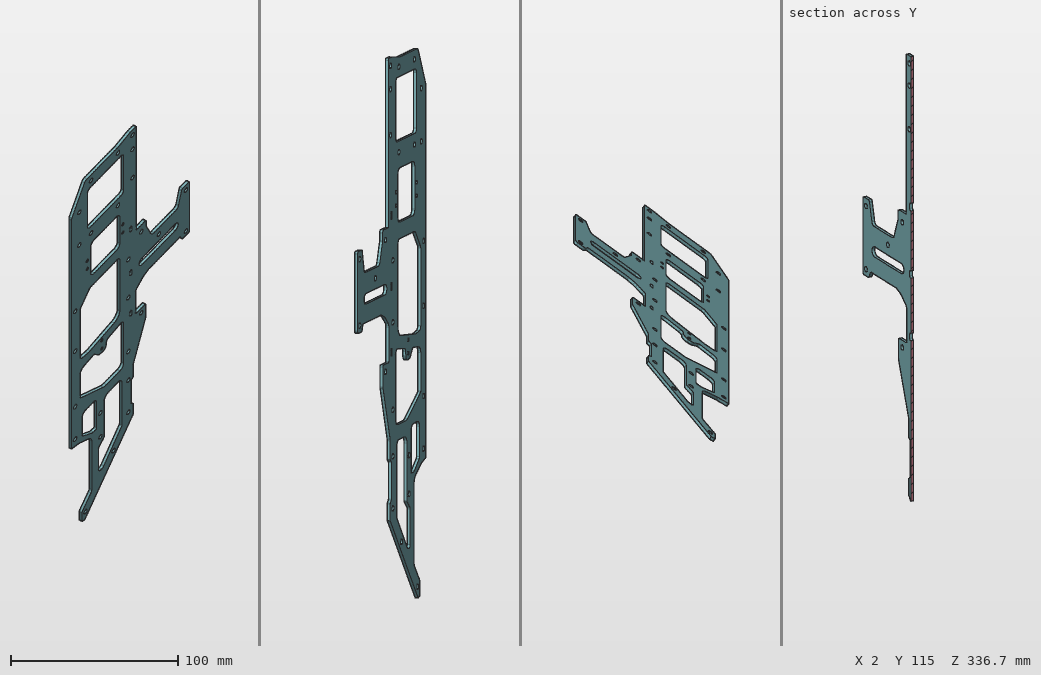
import cadquery as cq
import math

thickness = 2.0
height = 336.7
width = 115.0

body_front = 63.3
body_top = 334.5
body_shoulder = 234.0
waist_front = 62.5
shoulder_front = 73.0
lower_lug_front = 72.5
lower_lug_top = 152.0
rear_edge_bottom = 83.0
leg_front = 60.3
leg_recess = 58.2
leg_rear = 20.0
tail_rear = 10.0
arm_top = 213.5
arm_bottom = 182.8
arm_pad_top = 228.3
arm_pad_bottom = 178.5

window_rear = 8.8
window_front = 47.0
wide_window_front = 51.0
leg_window_bottom = 33.0

screw_diameter = 3.2
pin_diameter = 2.1
pin_pitch = 8.0
tab_slot_length = 4.7
tab_slot_width = 2.0


def fillet_arc(before, corner, after, radius):
    """Return start, middle and end of the arc that rounds one corner."""
    to_before = math.atan2(before[1] - corner[1], before[0] - corner[0])
    to_after = math.atan2(after[1] - corner[1], after[0] - corner[0])
    half_angle = math.acos(math.cos(to_after - to_before)) / 2
    bisector = math.atan2(
        math.sin(to_before) + math.sin(to_after),
        math.cos(to_before) + math.cos(to_after),
    )
    tangent_length = radius / math.tan(half_angle)
    middle_distance = radius / math.sin(half_angle) - radius

    def step(angle, distance):
        return (corner[0] + distance * math.cos(angle), corner[1] + distance * math.sin(angle))

    return step(to_before, tangent_length), step(bisector, middle_distance), step(to_after, tangent_length)


def rounded_plate(corners):
    """Extrude a closed outline given as (y, z, corner radius); radius 0 is sharp."""
    outline = cq.Workplane("YZ")
    started = False
    for index, (y, z, radius) in enumerate(corners):
        before = corners[index - 1]
        after = corners[(index + 1) % len(corners)]
        if radius > 0:
            start, middle, end = fillet_arc(before, (y, z), after, radius)
        else:
            start = (y, z)
        outline = outline.lineTo(*start) if started else outline.moveTo(*start)
        started = True
        if radius > 0:
            outline = outline.threePointArc(middle, end)
    return outline.close().extrude(thickness)


def rounded_rectangle(front, rear, bottom, top, radius):
    return rounded_plate([
        (front, top, radius),
        (rear, top, radius),
        (rear, bottom, radius),
        (front, bottom, radius),
    ])


def round_holes(centers, diameter):
    return cq.Workplane("YZ").pushPoints(centers).circle(diameter / 2).extrude(thickness)


plate = rounded_plate([
    (body_front, height, 1.0),
    (57.2, height, 0),
    (44.8, body_top, 0),
    (13.5, body_top, 2.7),
    (0, 310.0, 3.5),
    (0, rear_edge_bottom, 0),
    (7.5, 81.0, 6.7),
    (leg_rear, 74.0, 6.0),
    (leg_rear, 21.2, 3.5),
    (tail_rear, 10.0, 0.7),
    (tail_rear, 1.0, 0.7),
    (13.0, 0, 0),
    (leg_front, 55.2, 0),
    (leg_front, 65.5, 0.7),
    (leg_recess, 67.7, 0.7),
    (leg_recess, 90.5, 0.7),
    (leg_front, 92.3, 0.7),
    (leg_front, 104.5, 3.0),
    (lower_lug_front, 138.0, 2.7),
    (lower_lug_front, lower_lug_top, 1.0),
    (waist_front, lower_lug_top, 0.7),
    (waist_front, 175.0, 3.5),
    (69.7, arm_bottom - 2.0, 6.7),
    (75.0, arm_bottom, 1.0),
    (106.0, arm_bottom, 1.5),
    (107.7, arm_pad_bottom, 2.0),
    (width, arm_pad_bottom, 1.7),
    (width, arm_pad_top, 1.5),
    (107.5, arm_pad_top, 1.5),
    (103.7, arm_top, 2.7),
    (78.5, arm_top, 2.7),
    (shoulder_front, 227.3, 1.5),
    (shoulder_front, body_shoulder, 1.7),
    (body_front, body_shoulder, 0),
])

servo_window = rounded_rectangle(wide_window_front, 15.8, 283.5, 322.5, 2.7)
square_window = rounded_rectangle(window_front, 19.0, 234.0, 267.0, 3.5)

tall_window = rounded_plate([
    (window_front, 224.0, 2.7),
    (18.2, 224.0, 2.7),
    (window_rear, 212.8, 2.5),
    (window_rear, 162.5, 2.7),
    (17.2, 161.3, 6.7),
    (window_front, 165.3, 6.5),
])

lug_window = rounded_plate([
    (wide_window_front, 158.0, 2.7),
    (34.5, 155.5, 2.5),
    (33.7, 147.0, 3.5),
    (26.5, 148.5, 3.0),
    (22.2, 154.0, 1.5),
    (window_rear, 152.2, 4.0),
    (window_rear, 124.5, 0.7),
    (32.3, 111.5, 6.7),
    (wide_window_front, 111.5, 3.7),
])

leg_window = rounded_plate([
    (49.0, 102.0, 3.7),
    (32.0, 102.0, 4.5),
    (32.0, 62.0, 1.0),
    (26.5, 57.2, 1.7),
    (26.5, leg_window_bottom, 2.0),
    (30.5, leg_window_bottom, 2.7),
    (49.0, 55.2, 0.7),
])
small_window = rounded_plate([
    (24.5, 107.5, 3.5),
    (10.8, 107.5, 3.5),
    (10.8, 85.0, 1.7),
    (20.2, 78.0, 3.5),
    (24.5, 77.8, 0.7),
])

arm_slot_front = 104.0
arm_slot_rear = 66.0
arm_slot_width = 6.5
arm_slot_z = 197.3
arm_slot = (
    cq.Workplane("YZ")
    .center((arm_slot_front + arm_slot_rear) / 2, arm_slot_z)
    .slot2D(arm_slot_front - arm_slot_rear, arm_slot_width)
    .extrude(thickness)
)

tab_slot_y = 58.0
tab_slots = (
    cq.Workplane("YZ")
    .pushPoints([(tab_slot_y, z) for z in (240.5, 197.3, 157.2)])
    .slot2D(tab_slot_length, tab_slot_width, 90)
    .extrude(thickness)
)

screw_columns = [
    (3.7, (215.5, 176.0, 121.2, 89.2)),
    (7.7, (309.0, 276.8)),
    (19.2, (328.5, 276.8)),
    (28.3, (89.5, 66.0)),
    (45.5, (328.5, 276.8)),
    (55.5, (212.8, 175.0, 122.0, 93.5, 62.0)),
    (59.5, (331.5, 317.5, 289.5)),
    (68.0, (227.3, 147.0)),
    (111.5, (223.2, 182.8)),
]
single_screws = [(85.2, 207.0), (41.0, 39.0), (13.8, 7.0)]
screw_centers = [(y, z) for y, levels in screw_columns for z in levels] + single_screws
screw_holes = round_holes(screw_centers, screw_diameter)

pin_pairs = [(50.0, 245.0), (15.5, 245.0), (29.5, 152.0)]
pin_centers = [(y, z + rise) for y, z in pin_pairs for rise in (0, pin_pitch)]
pin_holes = round_holes(pin_centers, pin_diameter)

cutouts = [
    servo_window,
    square_window,
    tall_window,
    lug_window,
    leg_window,
    small_window,
    arm_slot,
    tab_slots,
    screw_holes,
    pin_holes,
]
result = plate
for cutout in cutouts:
    result = result.cut(cutout)